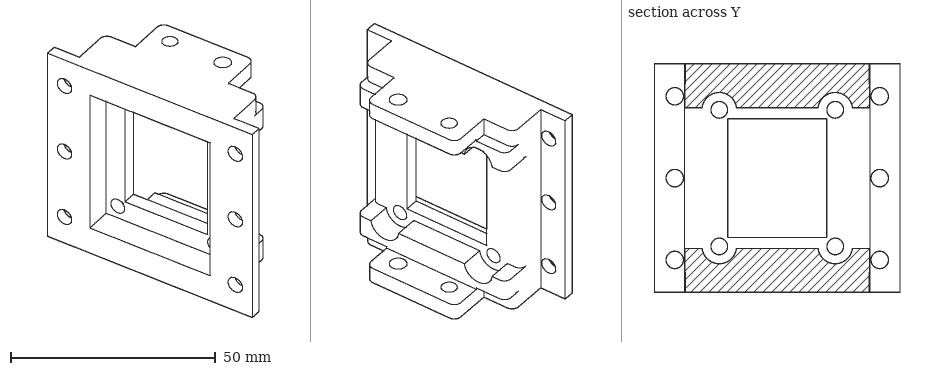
import cadquery as cq

WIDTH = 60.0
HEIGHT = 55.85
DEPTH = 25.7
FLANGE_THICKNESS = 3.0
CORNER_RADIUS = 2.0

BODY_WIDTH = 45.25
WALL_BACK = 11.0
LEDGE_BACK = 17.3
LEDGE_BAND = 10.8
END_PLATE_BACK = 14.15
END_PLATE_BAND = 4.9
TAB_WIDTH = 27.2
TAB_THICKNESS = 4.5

RECESS_WIDTH = 35.15
RECESS_HEIGHT = 40.5
RECESS_DEPTH = 7.2
WINDOW_WIDTH = 24.1
WINDOW_HEIGHT = 29.0

FLANGE_HOLE_DIAMETER = 4.2
FLANGE_HOLE_X = 25.0
FLANGE_HOLE_PITCH = 20.0
CORNER_HOLE_DIAMETER = 4.0
CORNER_HOLE_X = 14.15
CORNER_HOLE_Z = 16.7
HEAD_CLEARANCE_DIAMETER = 8.4
TAB_HOLE_X = 7.75
TAB_HOLE_Y = DEPTH - 5.15
TAB_HOLE_LEFT_DIAMETER = 3.95
TAB_HOLE_RIGHT_DIAMETER = 4.3


def front_box(width, height, depth):
    """Box centred on the Y axis that starts at the front face."""
    return cq.Workplane("XY").box(width, depth, height).translate((0, depth / 2, 0))


def rounded_block(width, back, height):
    """Box from the front face with its two rear vertical edges rounded."""
    return front_box(width, height, back).edges("|Z and >Y").fillet(CORNER_RADIUS)


def holes_along_y(points, diameter, start, end):
    """Cylinders along +Y, centred on (x, z) points."""
    plane = cq.Plane(origin=(0, start, 0), xDir=(1, 0, 0), normal=(0, -1, 0))
    return cq.Workplane(plane).pushPoints(points).circle(diameter / 2).extrude(start - end)


def make_outer_shape():
    shape = front_box(WIDTH, HEIGHT, FLANGE_THICKNESS)
    shape = shape.union(rounded_block(BODY_WIDTH, WALL_BACK, HEIGHT - 2 * LEDGE_BAND))
    ledge_height = LEDGE_BAND - END_PLATE_BAND
    core_height = LEDGE_BAND - TAB_THICKNESS
    for side in (-1, 1):
        ledge_z = side * (HEIGHT / 2 - END_PLATE_BAND - ledge_height / 2)
        core_z = side * (HEIGHT / 2 - TAB_THICKNESS - core_height / 2)
        plate_z = side * (HEIGHT - END_PLATE_BAND) / 2
        tab_z = side * (HEIGHT - TAB_THICKNESS) / 2
        ledge = rounded_block(BODY_WIDTH, LEDGE_BACK, ledge_height)
        core = front_box(TAB_WIDTH, core_height, LEDGE_BACK)
        end_plate = rounded_block(BODY_WIDTH, END_PLATE_BACK, END_PLATE_BAND)
        tab = rounded_block(TAB_WIDTH, DEPTH, TAB_THICKNESS)
        for block, z in ((ledge, ledge_z), (core, core_z), (end_plate, plate_z), (tab, tab_z)):
            shape = shape.union(block.translate((0, 0, z)))
    return shape


def cut_opening(shape):
    shape = shape.cut(front_box(RECESS_WIDTH, RECESS_HEIGHT, RECESS_DEPTH))
    return shape.cut(front_box(WINDOW_WIDTH, WINDOW_HEIGHT, DEPTH))


def cut_flange_holes(shape):
    points = [(x, row * FLANGE_HOLE_PITCH) for x in (-FLANGE_HOLE_X, FLANGE_HOLE_X) for row in (-1, 0, 1)]
    return shape.cut(holes_along_y(points, FLANGE_HOLE_DIAMETER, 0, FLANGE_THICKNESS))


def cut_corner_holes(shape):
    """Screw holes beside the window, with head clearance cut into the ledges."""
    points = [(x, z) for x in (-CORNER_HOLE_X, CORNER_HOLE_X) for z in (-CORNER_HOLE_Z, CORNER_HOLE_Z)]
    shape = shape.cut(holes_along_y(points, CORNER_HOLE_DIAMETER, 0, LEDGE_BACK))
    return shape.cut(holes_along_y(points, HEAD_CLEARANCE_DIAMETER, WALL_BACK, LEDGE_BACK))


def cut_tab_holes(shape):
    """Each hole passes through both the upper and the lower tab."""
    for x, diameter in ((-TAB_HOLE_X, TAB_HOLE_LEFT_DIAMETER), (TAB_HOLE_X, TAB_HOLE_RIGHT_DIAMETER)):
        drill = cq.Workplane("XY").center(x, TAB_HOLE_Y).circle(diameter / 2).extrude(HEIGHT / 2, both=True)
        shape = shape.cut(drill)
    return shape


result = make_outer_shape()
result = cut_opening(result)
result = cut_flange_holes(result)
result = cut_corner_holes(result)
result = cut_tab_holes(result)